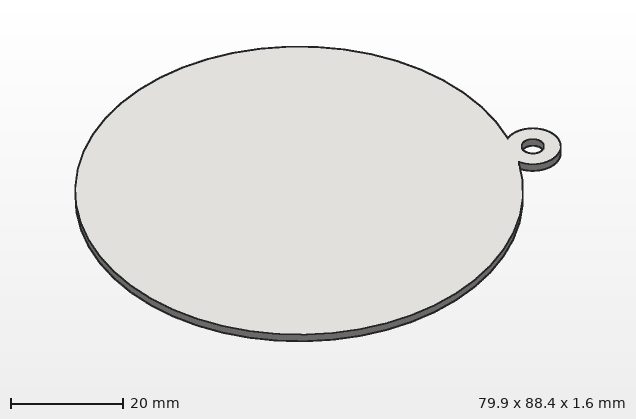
import cadquery as cq

total_length = 88.4
disc_diameter = 79.9
thickness = 1.6
loop_diameter = 10.0
hole_diameter = 4.0

loop_center_y = total_length - disc_diameter / 2 - loop_diameter / 2


def cylinder(diameter, center_y):
    """Upright cylinder through the full thickness, centred on the Y axis."""
    return cq.Workplane("XY").center(0, center_y).circle(diameter / 2).extrude(thickness)


disc = cylinder(disc_diameter, 0)
loop = cylinder(loop_diameter, loop_center_y)
hole = cylinder(hole_diameter, loop_center_y)

result = disc.union(loop).cut(hole)